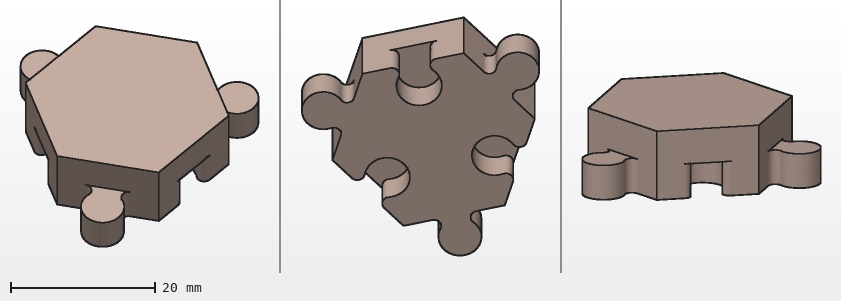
import cadquery as cq
import math

overall_width = 33.7
across_flats = 25.0
tile_height = 10.0
knob_height = tile_height / 2
head_radius = 3.0
neck_radius = head_radius / 3
socket_clearance = 1.05

apothem = across_flats / 2
across_corners = across_flats / math.cos(math.radians(30))
head_centre_radius = (overall_width / 2 - head_radius) / math.cos(math.radians(30))
head_offset = head_centre_radius - apothem

knob_angles = (90, 210, 330)
socket_angles = (30, 150, 270)


def knob(scale=1.0):
    """Knob pointing along +X from a flat at X = 0, its neck arcs tangent to head and flat."""
    head = head_radius * scale
    neck = neck_radius * scale
    offset = head_offset * scale
    half_base = math.sqrt((head + neck) ** 2 - (offset - neck) ** 2)

    head_share = head / (head + neck)
    join_x = offset + (neck - offset) * head_share
    join_y = half_base * head_share

    chord_x = join_x / 2 - neck
    chord_y = (join_y - half_base) / 2
    stretch = neck / math.hypot(chord_x, chord_y)
    middle_x = neck + chord_x * stretch
    middle_y = half_base + chord_y * stretch

    return (
        cq.Workplane("XY")
        .moveTo(0, half_base)
        .threePointArc((middle_x, middle_y), (join_x, join_y))
        .threePointArc((offset + head, 0), (join_x, -join_y))
        .threePointArc((middle_x, -middle_y), (0, -half_base))
        .close()
        .extrude(knob_height)
    )


def on_flat(shape, angle):
    """Move a knob shape onto the flat whose outward direction is at this angle."""
    return shape.translate((apothem, 0, 0)).rotate((0, 0, 0), (0, 0, 1), angle)


result = cq.Workplane("XY").polygon(6, across_corners).extrude(tile_height)

for angle in socket_angles:
    socket = knob(socket_clearance).rotate((0, 0, 0), (0, 0, 1), 180)
    result = result.cut(on_flat(socket, angle))

for angle in knob_angles:
    result = result.union(on_flat(knob(), angle))